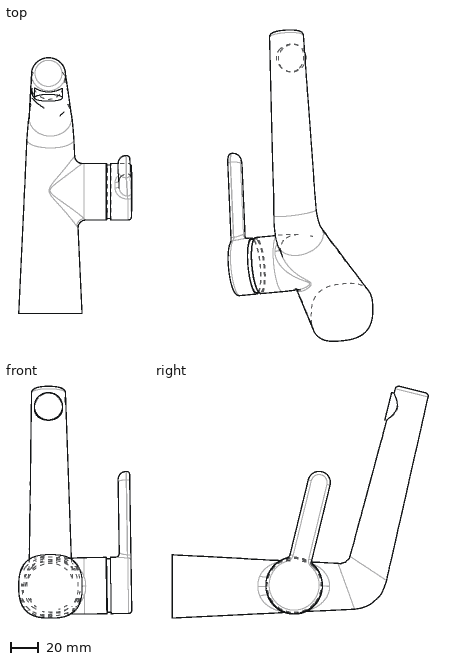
import cadquery as cq
import math

BASE_SIZE = 46.0
BASE_SQUARENESS = 2.65
ELLIPSE = 2.0
OUTLINE_POINTS = 32

INNER_START = (119.9, 16.8)
INNER_END = (128.5, 21.8)
OUTER_START = (132.0, -16.6)
OUTER_END = (155.2, 4.2)
ELBOW_WIDTH_START = 34.2
ELBOW_WIDTH_END = 31.0
ELBOW_STEPS = 6

SPOUT_TILT = 14.0
SPOUT_TIP = (-1.4, 173.86, 142.47)
TIP_DIAMETER = 24.6
TIP_FILLET = 2.6

NOZZLE_DIAMETER = 20.4
NOZZLE_BELOW_TIP = 16.0
NOZZLE_REACH = 14.2

BRANCH_Y = 88.2
BRANCH_TILT = 0.9
COLLAR_DIAMETER = 41.0
COLLAR_START = -8.0
COLLAR_START_RADIUS = 16.9
COLLAR_STRAIGHT = 24.5
COLLAR_END = 41.0
COLLAR_CHAMFER = 0.5
COLLAR_FILLET = 5.5
BLEND_MARGIN = 1.0

NECK_DIAMETER = 39.0
KNOB_START = 43.7
KNOB_END = 58.69
KNOB_FILLET = 2.4

LEVER_TILT = 13.7
LEVER_WIDTH = 16.4
LEVER_LENGTH = 84.6
LEVER_INNER = 50.1
LEVER_INNER_FILLET = 5.9
LEVER_ROOT_FILLET = 3.0
ROOT_ZONE = 3.5
EDGE_CLEARANCE = 0.01


def section(centre, across, half_x, half_across, exponent):
    """Closed superellipse wire spanned by the X axis and the unit vector `across`."""
    points = []
    for i in range(OUTLINE_POINTS):
        angle = 2 * math.pi * i / OUTLINE_POINTS
        c = math.cos(angle)
        s = math.sin(angle)
        u = math.copysign(half_x * abs(c) ** (2 / exponent), c)
        v = math.copysign(half_across * abs(s) ** (2 / exponent), s)
        points.append(centre + cq.Vector(u, 0, 0) + across * v)
    return cq.Wire.assembleEdges([cq.Edge.makeSpline(points, periodic=True)])


def bend_point(start, end, share):
    """Point (y, z) on the arc from start to end that turns from the body to the spout."""
    turn = math.radians(90 - SPOUT_TILT)
    chord_y = end[0] - start[0]
    chord_z = end[1] - start[1]
    radius = math.hypot(chord_y, chord_z) / (2 * math.sin(turn / 2))
    travel = 2 * radius * math.sin(share * turn / 2)
    heading = math.atan2(chord_z, chord_y) - (1 - share) * turn / 2
    return start[0] + travel * math.cos(heading), start[1] + travel * math.sin(heading)


def elbow_section(share):
    """Elliptic section of the elbow, from the body end (0) to the spout end (1)."""
    inner = cq.Vector(0, *bend_point(INNER_START, INNER_END, share))
    outer = cq.Vector(0, *bend_point(OUTER_START, OUTER_END, share))
    width = ELBOW_WIDTH_START + share * (ELBOW_WIDTH_END - ELBOW_WIDTH_START)
    height = (inner - outer).Length
    return section((inner + outer) / 2, (inner - outer).normalized(), width / 2, height / 2, ELLIPSE)


def place_branch(part):
    """Move a part built about the X axis onto the tilted branch axis."""
    return part.rotate((0, 0, 0), (0, 1, 0), -BRANCH_TILT).translate((0, BRANCH_Y, 0))


def make_tube():
    """Body, elbow and spout lofted end to end."""
    half_base = BASE_SIZE / 2
    base = section(cq.Vector(0, 0, 0), cq.Vector(0, 0, 1), half_base, half_base, BASE_SQUARENESS)
    tip = cq.Vector(*SPOUT_TIP)
    sections = [elbow_section(i / ELBOW_STEPS) for i in range(ELBOW_STEPS + 1)]
    tilt = math.radians(SPOUT_TILT)
    across_tip = cq.Vector(0, -math.cos(tilt), math.sin(tilt))
    end = section(tip, across_tip, TIP_DIAMETER / 2, TIP_DIAMETER / 2, ELLIPSE)
    body = cq.Workplane(cq.Solid.makeLoft([base, sections[0]], True))
    elbow = cq.Workplane(cq.Solid.makeLoft(sections))
    spout = cq.Workplane(cq.Solid.makeLoft([sections[-1], end], True))
    spout = spout.faces(">Z").edges().fillet(TIP_FILLET)
    return body.union(elbow).union(spout)


def make_nozzle():
    """Round outlet facing square out of the spout's -Y side."""
    tilt = math.radians(SPOUT_TILT)
    along = cq.Vector(0, math.sin(tilt), math.cos(tilt))
    outward = cq.Vector(0, -math.cos(tilt), math.sin(tilt))
    root = cq.Vector(*SPOUT_TIP) - along * NOZZLE_BELOW_TIP
    return cq.Workplane(cq.Solid.makeCylinder(NOZZLE_DIAMETER / 2, NOZZLE_REACH, root, outward))


def make_collar():
    """Side collar whose root narrows to dive below the body's surface."""
    radius = COLLAR_DIAMETER / 2
    profile = (
        cq.Workplane("XY")
        .moveTo(COLLAR_START, 0)
        .lineTo(COLLAR_END, 0)
        .lineTo(COLLAR_END, radius - COLLAR_CHAMFER)
        .lineTo(COLLAR_END - COLLAR_CHAMFER, radius)
        .lineTo(COLLAR_STRAIGHT, radius)
        .tangentArcPoint((COLLAR_START, COLLAR_START_RADIUS), relative=False)
        .close()
    )
    return place_branch(profile.revolve(360, (0, 0, 0), (1, 0, 0)))


def make_housing():
    """Tube with the side collar blended into it and the nozzle on its spout."""
    reach = COLLAR_DIAMETER / 2 + BLEND_MARGIN
    blend_zone = cq.selectors.BoxSelector(
        (COLLAR_START, BRANCH_Y - reach, -reach),
        (COLLAR_STRAIGHT, BRANCH_Y + reach, reach),
    )
    blended = make_tube().union(make_collar()).edges(blend_zone).fillet(COLLAR_FILLET)
    return blended.union(make_nozzle())


def disc(start, end, diameter):
    """Cylinder about the X axis between two X positions."""
    return cq.Workplane("YZ").workplane(offset=start).circle(diameter / 2).extrude(end - start)


def make_knob():
    """Round knob on a narrower neck, with the lever blended into its rim."""
    neck = disc(COLLAR_END, KNOB_START, NECK_DIAMETER)
    drum = disc(KNOB_START, KNOB_END, COLLAR_DIAMETER)
    radius = COLLAR_DIAMETER / 2
    root_zone = cq.selectors.BoxSelector(
        (KNOB_START, -radius, radius - ROOT_ZONE),
        (KNOB_END - EDGE_CLEARANCE, radius, radius + ROOT_ZONE),
    )
    knob = drum.union(make_lever()).edges(root_zone).fillet(LEVER_ROOT_FILLET)
    knob = knob.faces(">X").edges().fillet(KNOB_FILLET)
    return place_branch(neck.union(knob))


def make_lever():
    """Blade with a round tip and a deeply rounded inner face, leaning from the knob axis."""
    half = LEVER_WIDTH / 2
    blade = (
        cq.Workplane("YZ")
        .workplane(offset=LEVER_INNER)
        .moveTo(-half, 0)
        .lineTo(half, 0)
        .lineTo(half, LEVER_LENGTH - half)
        .threePointArc((0, LEVER_LENGTH), (-half, LEVER_LENGTH - half))
        .close()
        .extrude(KNOB_END - LEVER_INNER)
    )
    blade = blade.faces("<X").edges("not(<Z)").fillet(LEVER_INNER_FILLET)
    return blade.rotate((0, 0, 0), (1, 0, 0), -LEVER_TILT)


housing = make_housing()
knob = make_knob()
result = cq.Compound.makeCompound([housing.val(), knob.val()])